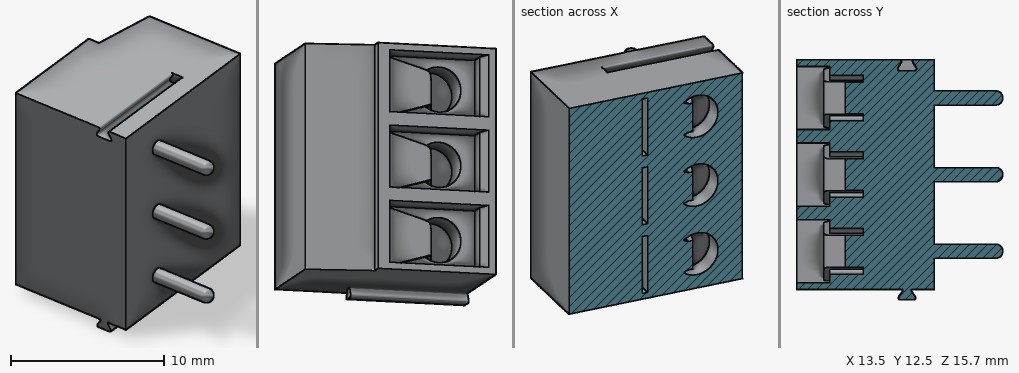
import cadquery as cq
import math

POLES = 3
PITCH = 5.0
BODY_X = 9.0
BODY_Y = 12.5
BODY_Z = POLES * PITCH
STEP_Y = 8.0
STEP_SETBACK = 0.83
TOP_SETBACK = 1.58

DOVETAIL_X = 7.21
RIB_NECK = 0.47
RIB_WIDTH = 1.35
RIB_HEIGHT = 0.67
RIB_ROOT_ROUND = 0.06
GROOVE_NECK = 0.53
GROOVE_WIDTH = 1.41
GROOVE_DEPTH = 0.72
GROOVE_LIP_ROUND = 0.11
DOVETAIL_CORNER_ROUND = 0.13

POCKET_Y_LOW = 0.52
POCKET_Y_HIGH = 7.2
POCKET_Z = 4.11
POCKET_DEPTH = 2.15
LEAD_IN_WIDTH = 0.35
LEAD_IN_DEPTH = 0.86
GAP_WIDTH = 0.35
HOLE_Y = 3.3
HOLE_DIAMETER = 3.0
HOLE_DEPTH = 2.2
HOLE_BOTTOM = POCKET_DEPTH + HOLE_DEPTH

TONGUE_RISE = 0.39
TONGUE_ROOT_Y = POCKET_Y_HIGH - GAP_WIDTH
TONGUE_BEND_Y = 4.33
BEND_RADIUS = 0.49
BEND_TURN = math.radians(60)
LEAN = math.radians(17)
TONGUE_ROOT_WIDTH = 3.89
TONGUE_BEND_WIDTH = 2.41
TONGUE_TIP_WIDTH = 2.1

PIN_Y = 3.4
PIN_RADIUS = 0.5
PIN_LENGTH = 4.5


def pole_heights():
    return [PITCH * (i + 0.5) for i in range(POLES)]


def housing():
    outline = [
        (0, 0),
        (BODY_X, 0),
        (BODY_X, BODY_Y),
        (TOP_SETBACK, BODY_Y),
        (STEP_SETBACK, STEP_Y),
        (0, STEP_Y),
    ]
    return cq.Workplane("XY").polyline(outline).close().extrude(BODY_Z)


def dovetail(neck, width, height):
    """Dovetail bar hanging below Z = 0, running along Y over the lower block."""
    half_outline = [(neck / 2, 0), (width / 2, -height)]
    mirrored = [(-x, z) for x, z in reversed(half_outline)]
    bar = cq.Workplane("XZ").polyline(half_outline + mirrored).close().extrude(-STEP_Y)
    bar = bar.faces("<Z").edges("|Y").fillet(DOVETAIL_CORNER_ROUND)
    return bar.translate((DOVETAIL_X, 0, 0))


def dovetail_neck_edges(body, z, neck):
    """Long edges where the dovetail neck meets the housing surface at height z."""
    reach = 0.02
    picker = cq.selectors.BoxSelector(
        (DOVETAIL_X - neck / 2 - reach, -reach, z - reach),
        (DOVETAIL_X + neck / 2 + reach, STEP_Y + reach, z + reach),
    )
    return body.edges("|Y").edges(picker)


def pocket(z):
    """Opening with its slanted entry, side gap and round hole of one pole."""
    floor_low_y = POCKET_Y_LOW + LEAD_IN_WIDTH
    outline = [
        (0, POCKET_Y_LOW),
        (LEAD_IN_DEPTH, floor_low_y),
        (POCKET_DEPTH, floor_low_y),
        (POCKET_DEPTH, TONGUE_ROOT_Y),
        (HOLE_BOTTOM, TONGUE_ROOT_Y),
        (HOLE_BOTTOM, POCKET_Y_HIGH),
        (0, POCKET_Y_HIGH),
    ]
    z_low = z - POCKET_Z / 2
    opening = cq.Workplane("XY").workplane(offset=z_low).polyline(outline).close().extrude(POCKET_Z)
    hole = (
        cq.Workplane("YZ", origin=(POCKET_DEPTH, HOLE_Y, z))
        .circle(HOLE_DIAMETER / 2)
        .extrude(HOLE_DEPTH)
    )
    return opening.union(hole)


def tongue(z):
    """Spring tongue of one pole: a side profile trimmed to its tapering plan shape."""
    face_x = POCKET_DEPTH - TONGUE_RISE
    root_y = TONGUE_ROOT_Y - TONGUE_RISE
    diagonal = TONGUE_RISE * math.sqrt(0.5)
    root_mid = (POCKET_DEPTH - diagonal, root_y + diagonal)

    def bend_point(turn):
        x = face_x + BEND_RADIUS * (1 - math.cos(turn))
        return x, TONGUE_BEND_Y - BEND_RADIUS * math.sin(turn)

    bend_end = bend_point(BEND_TURN)
    tip_y = bend_end[1] - (HOLE_BOTTOM - bend_end[0]) * math.tan(LEAN)
    side = (
        cq.Workplane("XY")
        .moveTo(POCKET_DEPTH, TONGUE_ROOT_Y)
        .threePointArc(root_mid, (face_x, root_y))
        .lineTo(face_x, TONGUE_BEND_Y)
        .threePointArc(bend_point(BEND_TURN / 2), bend_end)
        .lineTo(HOLE_BOTTOM, tip_y)
        .lineTo(HOLE_BOTTOM, TONGUE_ROOT_Y)
        .close()
        .extrude(TONGUE_ROOT_WIDTH / 2, both=True)
    )
    half_plan = [
        (TONGUE_ROOT_Y, TONGUE_ROOT_WIDTH / 2),
        (TONGUE_BEND_Y, TONGUE_BEND_WIDTH / 2),
        (bend_end[1], TONGUE_TIP_WIDTH / 2),
        (tip_y, TONGUE_TIP_WIDTH / 2),
    ]
    mirrored = [(y, -half) for y, half in reversed(half_plan)]
    plan = cq.Workplane("YZ").polyline(half_plan + mirrored).close().extrude(HOLE_BOTTOM)
    return side.intersect(plan).translate((0, 0, z))


def pin(z):
    """Round pin with a hemispherical end."""
    straight = PIN_LENGTH - PIN_RADIUS
    shank = cq.Workplane("YZ", origin=(BODY_X, PIN_Y, z)).circle(PIN_RADIUS).extrude(straight)
    tip = cq.Workplane("XY").sphere(PIN_RADIUS).translate((BODY_X + straight, PIN_Y, z))
    return shank.union(tip)


rib = dovetail(RIB_NECK, RIB_WIDTH, RIB_HEIGHT)
groove = dovetail(GROOVE_NECK, GROOVE_WIDTH, GROOVE_DEPTH).translate((0, 0, BODY_Z))

result = housing().union(rib).cut(groove)
result = dovetail_neck_edges(result, 0, RIB_NECK).fillet(RIB_ROOT_ROUND)
result = dovetail_neck_edges(result, BODY_Z, GROOVE_NECK).fillet(GROOVE_LIP_ROUND)
for height in pole_heights():
    result = result.cut(pocket(height)).union(tongue(height)).union(pin(height))